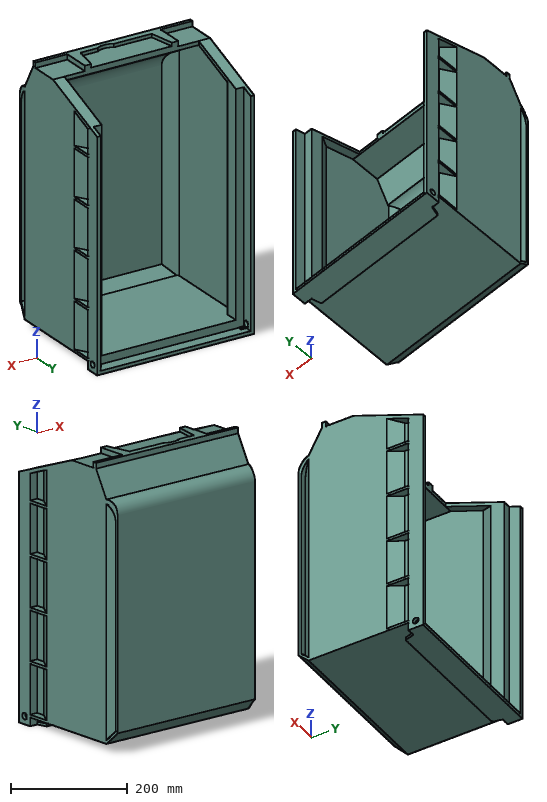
import cadquery as cq
import math


width = 318.5
depth = 255.5
height = 512.5
half_width = width / 2

wall = 7.0
base_plate = 5.0
rim_step = 16.0
rim_depth = 29.5
rim_inner_depth = rim_depth - wall
floor_z = rim_step + wall
core_depth = depth - base_plate

mouth_low_z = 449.0
lip_z = 502.5
lip_back_depth = 141.0
lip_front_depth = 204.5
shoulder_depth = 231.5
shoulder_z = 453.5
corner = depth - shoulder_depth
inner_fillet = 32.5
inner_fillet_start_depth = 227.0
flange_thickness = 7.5
lip_slant = (shoulder_depth - lip_front_depth) / (lip_z - shoulder_z)
lip_front_shift = wall * math.hypot(1, lip_slant)

plate_edge_inset = 5.0

pocket_flat_depth = 47.0
pocket_end_depth = 73.5
rib_thickness = 5.0
rib_pitch = 96.0
bay_count = 5

hook_end_depth = 48.5
hook_inset = 16.0
hook_taper = 5.0
hook_height = 5.0
hole_diameter = 12.0
hole_depth = 15.0
hole_z = 15.0
pad_width = 10.0
pad_length = 7.0
pad_depth = 17.5
pad_height = 1.5

rail_back_depth = 197.0
frame_inset = 64.5
label_back_inset = 77.5
label_front_inset = 87.0
label_front_depth = 190.0
label_recess = 6.5
notch_x = 21.0
notch_half_chord = 16.5
notch_rise = 5.0


def mouth_z(at_depth):
    """Height of the sloping mouth edge at a given depth."""
    return mouth_low_z + (lip_z - mouth_low_z) * at_depth / lip_back_depth


def box(x_min, x_max, depth_min, depth_max, z_min, z_max):
    size = (x_max - x_min, depth_max - depth_min, z_max - z_min)
    return cq.Workplane("XY").box(*size, centered=False).translate((x_min, -depth_max, z_min))


def side_prism(points):
    """Prism across the full width from (depth, z) points."""
    return cq.Workplane("YZ").polyline([(-d, z) for d, z in points]).close().extrude(half_width, both=True)


def plan_prism(half_outline, z_min=0.0, z_max=height):
    """Prism along Z, symmetric about X = 0, from (inset, depth) points of its left half."""
    left = [(inset - half_width, -d) for inset, d in half_outline]
    right = [(-x, y) for x, y in reversed(left)]
    return cq.Workplane("XY").workplane(offset=z_min).polyline(left + right).close().extrude(z_max - z_min)


def outer_block():
    """Full-width solid with the outer side outline."""
    arc_mid = corner * math.sin(math.pi / 4)
    arc_center_z = shoulder_z - corner
    return (
        cq.Workplane("YZ")
        .moveTo(0, 0)
        .lineTo(0, mouth_low_z)
        .lineTo(-lip_back_depth, lip_z)
        .lineTo(-lip_front_depth, lip_z)
        .lineTo(-shoulder_depth, shoulder_z)
        .threePointArc((-shoulder_depth - arc_mid, arc_center_z + arc_mid), (-depth, arc_center_z))
        .lineTo(-depth, rim_step + corner)
        .lineTo(-shoulder_depth, rim_step)
        .lineTo(-rim_depth, rim_step)
        .lineTo(-rim_depth, 0)
        .close()
        .extrude(half_width, both=True)
    )


def core_block():
    """Full-width solid with the inner side outline of the bin."""
    center_depth = core_depth - inner_fillet
    start_angle = math.acos((inner_fillet_start_depth - center_depth) / inner_fillet)
    start_rise = inner_fillet * math.sin(start_angle)
    start_z = lip_z - (inner_fillet_start_depth - lip_front_depth + lip_front_shift) / lip_slant
    center_z = start_z - start_rise
    mid_depth = center_depth + inner_fillet * math.cos(start_angle / 2)
    mid_z = center_z + inner_fillet * math.sin(start_angle / 2)
    ceiling_z = lip_z - flange_thickness
    return (
        cq.Workplane("YZ")
        .moveTo(-rim_inner_depth, floor_z)
        .lineTo(-rim_inner_depth, mouth_z(rim_inner_depth) - flange_thickness)
        .lineTo(-lip_back_depth, ceiling_z)
        .lineTo(-lip_front_depth + lip_front_shift - lip_slant * flange_thickness, ceiling_z)
        .lineTo(-inner_fillet_start_depth, start_z)
        .threePointArc((-mid_depth, mid_z), (-core_depth, center_z))
        .lineTo(-core_depth, floor_z + core_depth - shoulder_depth)
        .lineTo(-shoulder_depth, floor_z)
        .close()
        .extrude(half_width, both=True)
    )


def shell():
    """Bin body with chamfered base corners, hollowed out, and closed by the wider base plate."""
    outer = outer_block()
    core = core_block()
    body_plan = plan_prism([(0, 0), (0, shoulder_depth), (corner, depth)])
    plate_plan = plan_prism([
        (0, 0),
        (0, shoulder_depth),
        (plate_edge_inset, core_depth),
        (plate_edge_inset, depth),
    ])
    plate_zone = box(-half_width, half_width, shoulder_depth, depth, 0, height)
    plate = outer.cut(core).intersect(plate_plan).intersect(plate_zone)

    slant_angle = math.atan2(rim_step, pocket_end_depth - pocket_flat_depth)
    slant_shift = wall * math.tan(slant_angle / 2)
    corner_shift = wall * math.tan(math.pi / 8)
    corner_start = shoulder_depth - corner_shift
    cavity_plan = plan_prism([
        (rim_step + wall, rim_inner_depth),
        (rim_step + wall, pocket_flat_depth + slant_shift),
        (wall, pocket_end_depth + slant_shift),
        (wall, corner_start),
        (wall + core_depth - corner_start, core_depth),
    ])
    mouth_half = half_width - rim_step - wall
    rim_half = half_width - wall
    mouth = box(-mouth_half, mouth_half, 0, lip_back_depth, floor_z, height)
    rim = box(-rim_half, rim_half, 0, rim_inner_depth, wall, height)
    body = outer.intersect(body_plan)
    return body.cut(core.intersect(cavity_plan)).cut(mouth).cut(rim).union(plate)


def side_pockets():
    """Bays between the ribs on both outer sides; the top bay follows the sloping mouth."""
    half_outline = [
        (-half_width, -rim_depth),
        (rim_step - half_width, -rim_depth),
        (rim_step - half_width, -pocket_flat_depth),
        (-half_width, -pocket_end_depth),
    ]
    limit = side_prism([
        (0, 0),
        (0, mouth_z(0) - flange_thickness),
        (pocket_end_depth, mouth_z(pocket_end_depth) - flange_thickness),
        (pocket_end_depth, 0),
    ])
    bays = cq.Workplane("XY")
    for index in range(bay_count):
        bottom_z = rim_step + rib_thickness + index * rib_pitch
        bay_height = rib_pitch - rib_thickness
        bay = cq.Workplane("XY").workplane(offset=bottom_z).polyline(half_outline).close().extrude(bay_height)
        bays = bays.add(bay.intersect(limit)).add(bay.mirror("YZ").intersect(limit))
    return bays.combine()


def lip_frame():
    """Front rail and the label frame standing on the lip."""
    rail = box(-half_width, half_width, rail_back_depth, lip_front_depth, lip_z, height)
    frame_half = half_width - frame_inset
    frame = box(-frame_half, frame_half, lip_back_depth, rail_back_depth, lip_z, height)
    label_back_half = half_width - label_back_inset
    label_front_half = half_width - label_front_inset
    label = (
        cq.Workplane("XY")
        .workplane(offset=height - label_recess)
        .moveTo(-label_back_half, -lip_back_depth)
        .lineTo(-label_front_half, -label_front_depth)
        .lineTo(notch_x - notch_half_chord, -label_front_depth)
        .threePointArc(
            (notch_x, -label_front_depth - notch_rise),
            (notch_x + notch_half_chord, -label_front_depth),
        )
        .lineTo(label_front_half, -label_front_depth)
        .lineTo(label_back_half, -lip_back_depth)
        .close()
        .extrude(label_recess)
    )
    return rail.union(frame).cut(label)


def hook_strip():
    """Thin strip with tapered ends along the lower edge of the rim."""
    return plan_prism(
        [(hook_inset, rim_inner_depth), (hook_inset, rim_depth), (hook_inset + hook_taper, hook_end_depth)],
        z_max=hook_height,
    )


def corner_pads():
    """Low pads in the two corners of the rim floor."""
    pad = box(
        wall - half_width,
        wall + pad_width - half_width,
        pad_depth - pad_length / 2,
        pad_depth + pad_length / 2,
        wall,
        wall + pad_height,
    )
    return pad.union(pad.mirror("YZ"))


def hanging_holes():
    """One hole across both rim walls."""
    return (
        cq.Workplane("YZ")
        .center(-hole_depth, hole_z)
        .circle(hole_diameter / 2)
        .extrude(half_width, both=True)
    )


result = shell().cut(side_pockets()).union(lip_frame()).union(hook_strip()).union(corner_pads())
result = result.cut(hanging_holes())